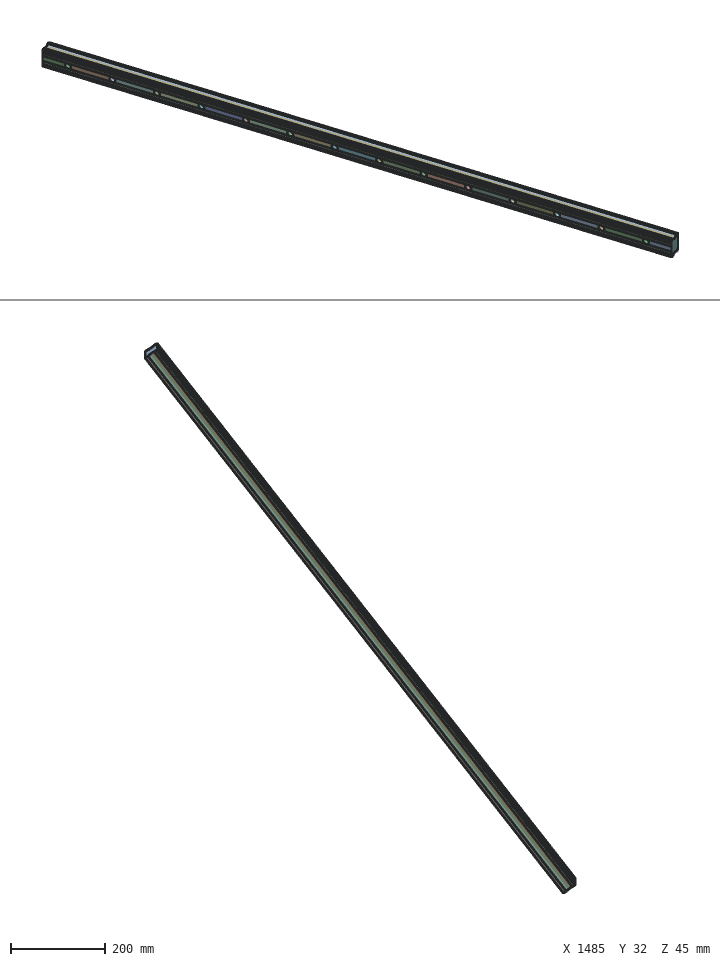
import math

import cadquery as cq


rail_length = 1485.0
rail_height = 32.0
rail_width = 45.0

head_slope_height = 3.7
head_slope_angle = 21.8
head_blend_radius = 5.0

waist_upper_edge_y = 8.2
waist_lower_edge_y = -8.0
waist_depth = 3.0
waist_upper_angle = 33.5
waist_lower_angle = 45.0
waist_fillet_radius = 4.0

base_chamfer = 2.0
base_relief_outer_z = 15.0
base_relief_depth = 0.75

hole_count = 14
hole_pitch = 105.0
hole_diameter = 14.0

half_width = rail_width / 2
top_y = rail_height / 2
base_y = -rail_height / 2
relief_floor_y = base_y + base_relief_depth
base_land_half_width = hole_diameter / 2

head_corner_y = top_y - head_slope_height
head_half_width = half_width - head_slope_height * math.tan(math.radians(head_slope_angle))
waist_half_width = half_width - waist_depth
waist_floor_top_y = waist_upper_edge_y - waist_depth / math.tan(math.radians(waist_upper_angle))
waist_floor_bottom_y = waist_lower_edge_y + waist_depth / math.tan(math.radians(waist_lower_angle))


def make_body():
    """Sharp-cornered rail, extruded along X and centred on the origin."""
    half_outline = [
        (top_y, head_half_width),
        (head_corner_y, half_width),
        (waist_upper_edge_y, half_width),
        (waist_floor_top_y, waist_half_width),
        (waist_floor_bottom_y, waist_half_width),
        (waist_lower_edge_y, half_width),
        (base_y + base_chamfer, half_width),
        (base_y, half_width - base_chamfer),
        (base_y, base_relief_outer_z),
        (relief_floor_y, base_relief_outer_z),
        (relief_floor_y, base_land_half_width),
        (base_y, base_land_half_width),
    ]
    mirrored_half = [(y, -z) for y, z in reversed(half_outline)]
    section = cq.Workplane("YZ").polyline(half_outline + mirrored_half).close()
    return section.extrude(rail_length / 2, both=True)


def round_long_edge(body, y, z, radius):
    """Fillet the edge that runs along X through the point (y, z)."""
    return body.edges(cq.selectors.NearestToPointSelector((0, y, z))).fillet(radius)


def round_sides(body):
    """Blend the head corners and the corners of the waist floor on both sides."""
    for side in (1, -1):
        body = round_long_edge(body, head_corner_y, side * half_width, head_blend_radius)
        for floor_y in (waist_floor_top_y, waist_floor_bottom_y):
            body = round_long_edge(body, floor_y, side * waist_half_width, waist_fillet_radius)
    return body


def make_mounting_holes():
    """Row of plain holes through the full height of the rail."""
    hole_row = cq.Workplane("XZ").rarray(hole_pitch, 1, hole_count, 1).circle(hole_diameter / 2)
    return hole_row.extrude(rail_height, both=True)


result = round_sides(make_body()).cut(make_mounting_holes())